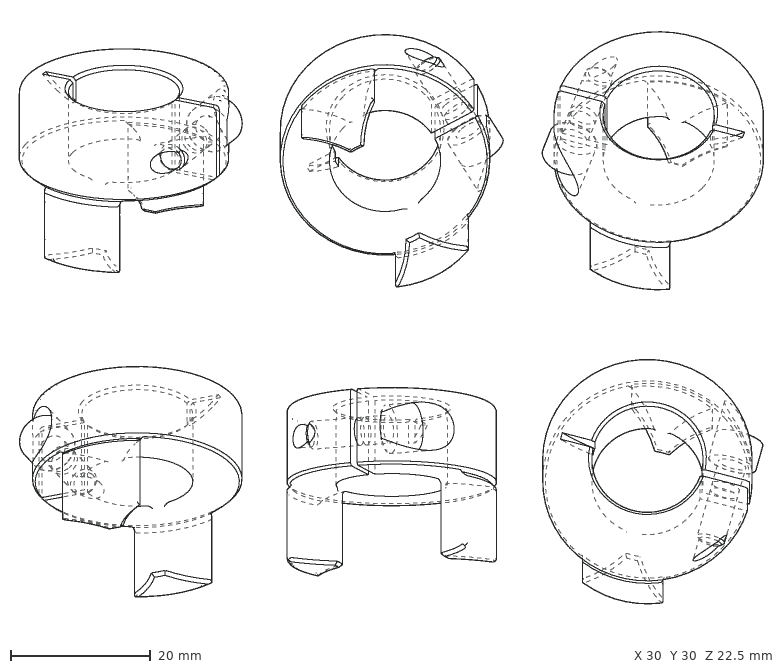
import cadquery as cq
import math

hub_radius = 15.0
total_height = 22.5
ring_height = total_height / 2
jaw_length = total_height - ring_height
bore_radius = 7.95
bore_mouth_chamfer = 0.48
top_fillet = 0.7

groove_depth = 0.6
groove_z = jaw_length - 0.2

lobe_radius = 16.0
jaw_edge_fillet = 0.48
jaw_root_fillet = 0.7
jaw_tip_chamfer = 0.5
jaw_outer_tip_fillet = 0.7
blank_radius = hub_radius + 2.4

slit_width = 1.0
relief_end_x = -12.75
saw_radius = 14.4
saw_center_x = -1.95

shank_radius = 2.0
shank_length = 12.0
shank_tip_chamfer = 0.35
head_radius = 3.5
head_length = 4.0
head_edge_fillet = 0.18
head_seat_y = 4.0
screw_x = hub_radius - head_radius
screw_z = jaw_length + ring_height / 2
screw_tip_y = head_seat_y - shank_length
tapped_hole_radius = shank_radius - shank_tip_chamfer


def cylinder_along_y(radius, y_start, y_end):
    """Cylinder on the screw axis, from y_start up to y_end."""
    plane = cq.Workplane("XZ", origin=(screw_x, y_start, screw_z))
    return plane.circle(radius).extrude(y_start - y_end)


def make_screw():
    """Cap screw with its head on the +Y side and its tip towards -Y."""
    head = cylinder_along_y(head_radius, head_seat_y, head_seat_y + head_length)
    head = head.edges().fillet(head_edge_fillet)
    shank = cylinder_along_y(shank_radius, screw_tip_y, head_seat_y)
    shank = shank.faces("<Y").edges().chamfer(shank_tip_chamfer)
    return head.union(shank)


def flared_cutter(radius, center_x):
    """Upright cylinder as tall as a jaw, widened at its foot to chamfer the jaw tip."""
    cylinder = cq.Workplane("XY").center(center_x, 0).circle(radius).extrude(jaw_length)
    foot = (
        cq.Workplane("XY")
        .center(center_x, 0)
        .circle(radius + jaw_tip_chamfer)
        .extrude(jaw_tip_chamfer, taper=45)
    )
    return cylinder.union(foot)


def make_jaw_prism():
    """Prism of the +Y jaw, bounded by the rim, the bore and two lobes, with rounded edges."""
    prism = cq.Workplane("XY").circle(hub_radius).circle(bore_radius).extrude(jaw_length)
    for lobe_x in (-hub_radius, hub_radius):
        lobe = cq.Workplane("XY").center(lobe_x, 0).circle(lobe_radius).extrude(jaw_length)
        prism = prism.cut(lobe)
    prism = cq.Workplane(prism.solids(">Y").val())
    return prism.edges("|Z").fillet(jaw_edge_fillet)


def make_rooted_blank():
    """Oversize disc carrying both jaws, with a fillet all around each jaw root."""
    blank = (
        cq.Workplane("XY", origin=(0, 0, jaw_length))
        .circle(blank_radius)
        .extrude(ring_height)
    )
    for angle in (0, 180):
        jaw = make_jaw_prism().rotate((0, 0, 0), (0, 0, 1), angle)
        blank = blank.union(jaw)
    underside = blank.faces(cq.NearestToPointSelector((0, 0, jaw_length))).val()
    root_edges = [edge for wire in underside.innerWires() for edge in wire.Edges()]
    return blank.newObject(root_edges).fillet(jaw_root_fillet)


def make_outer_envelope():
    """Turned outside of the hub, with the V groove and both rounded outer edges."""
    profile = (
        cq.Workplane("XZ")
        .lineTo(hub_radius, 0)
        .lineTo(hub_radius, groove_z - groove_depth)
        .lineTo(hub_radius - groove_depth, groove_z)
        .lineTo(hub_radius, groove_z + groove_depth)
        .lineTo(hub_radius, total_height)
        .lineTo(0, total_height)
        .close()
    )
    envelope = profile.revolve(360, (0, 0, 0), (0, 1, 0))
    envelope = envelope.faces(">Z").edges().fillet(top_fillet)
    return envelope.faces("<Z").edges().fillet(jaw_outer_tip_fillet)


def make_bore():
    """Through bore with a chamfered mouth at the top and flared between the jaw tips."""
    mouth = (
        cq.Workplane("XY", origin=(0, 0, total_height))
        .circle(bore_radius + bore_mouth_chamfer)
        .extrude(-bore_mouth_chamfer, taper=45)
    )
    ring_bore = cq.Workplane("XY").circle(bore_radius).extrude(total_height)
    return ring_bore.union(mouth).union(flared_cutter(bore_radius, 0))


def make_slit():
    """Slit that opens the ring from the bore out to the +X side."""
    return cq.Workplane("XY").box(
        hub_radius, slit_width, total_height, centered=(False, True, False)
    )


def make_relief_cut():
    """Disc of the saw whose arc runs out at the top face on the -X side."""
    half_chord = saw_center_x - relief_end_x
    saw_center_z = total_height + math.sqrt(saw_radius**2 - half_chord**2)
    plane = cq.Workplane("XZ", origin=(saw_center_x, slit_width / 2, saw_center_z))
    return plane.circle(saw_radius).extrude(slit_width)


def make_screw_seat():
    """Counterbore open to the +Y side, screw hole and the tapped hole open to the -Y side."""
    counterbore = cylinder_along_y(head_radius, head_seat_y, hub_radius)
    tapped_hole = cylinder_along_y(tapped_hole_radius, -hub_radius, head_seat_y)
    return counterbore.union(tapped_hole).union(make_screw())


def make_hub():
    """Clamping hub with two jaws."""
    body = make_rooted_blank().intersect(make_outer_envelope())
    for lobe_x in (-hub_radius, hub_radius):
        tip_chamfer = flared_cutter(lobe_radius, lobe_x).intersect(
            cq.Workplane("XY").circle(blank_radius).extrude(jaw_tip_chamfer)
        )
        body = body.cut(tip_chamfer)
    body = body.cut(make_bore())
    body = body.cut(make_slit())
    body = body.cut(make_relief_cut())
    return body.cut(make_screw_seat())


hub = make_hub()
screw = make_screw()
result = cq.Compound.makeCompound([hub.val(), screw.val()])